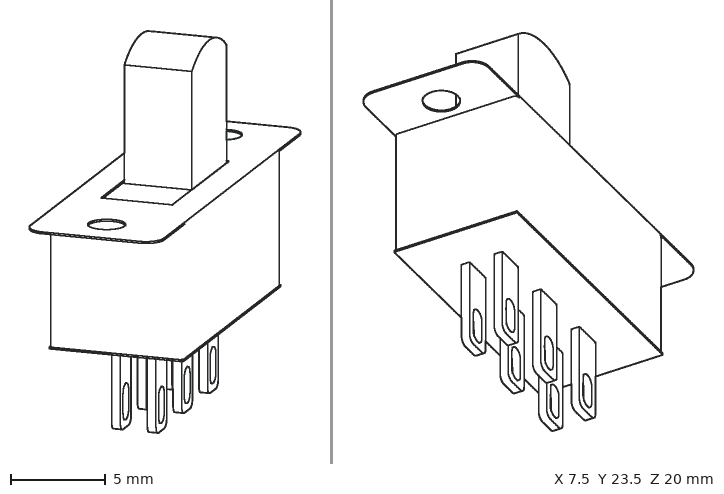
import cadquery as cq


sheet = 0.1

flange_length = 23.5
flange_width = 7.5
flange_corner_radius = 1.0
mount_hole_diameter = 2.0
mount_hole_pitch = 18.5
housing_length = 15.49
housing_width = flange_width
housing_height = 7.5
housing_corner_radius = 0.25

window_length = 9.0
window_width = 4.0

slider_length = 5.5
slider_clearance = sheet
slider_width = window_width - 2 * slider_clearance
slider_rise = 7.4
slider_crown = 0.99

terminal_thickness = 0.5
terminal_width = 1.72
terminal_length = 5.0
terminal_corner_radius = 0.42
terminal_rows = 2
terminal_row_pitch = 2.0
terminals_per_row = 3
terminal_pitch = 4.1
slot_length = 2.0
slot_width = 0.9
slot_end_gap = 0.42

window_floor_z = -sheet
housing_bottom_z = -housing_height
base_bottom_z = housing_bottom_z - sheet


def make_housing():
    """Solid block under a thin flange, with two mounting holes and a window one sheet deep."""
    flange = (
        cq.Workplane("XY")
        .box(flange_width, flange_length, sheet, centered=(True, True, False))
        .edges("|Z")
        .fillet(flange_corner_radius)
        .faces(">Z")
        .workplane()
        .rarray(0.24, mount_hole_pitch, 1, 2)
        .hole(mount_hole_diameter)
        .translate((0, 0, -sheet))
    )
    block = (
        cq.Workplane("XY", origin=(0, 0, housing_bottom_z))
        .rect(housing_width, housing_length)
        .extrude(housing_height - sheet)
        .edges("|Z")
        .fillet(housing_corner_radius)
    )
    window = (
        cq.Workplane("XY", origin=(0, 0, window_floor_z))
        .rect(window_width, window_length)
        .extrude(sheet)
    )
    return flange.union(block).cut(window)


def make_base():
    """Flat square-cornered plate that closes the underside of the housing."""
    return (
        cq.Workplane("XY", origin=(0, 0, base_bottom_z))
        .rect(housing_width, housing_length)
        .extrude(sheet)
    )


def make_slider():
    """Block with a crowned top, standing on the window floor at the +Y end of its travel."""
    back_y = window_length / 2 - slider_clearance
    front_y = back_y - slider_length
    shoulder_z = slider_rise - slider_crown
    return (
        cq.Workplane("YZ")
        .moveTo(front_y, window_floor_z)
        .lineTo(back_y, window_floor_z)
        .lineTo(back_y, shoulder_z)
        .threePointArc(((front_y + back_y) / 2, slider_rise), (front_y, shoulder_z))
        .close()
        .extrude(slider_width / 2, both=True)
    )


def make_terminal(x, y):
    """Flat tag hanging below the base plate, with rounded lower corners and a wire slot."""
    tip_z = base_bottom_z - terminal_length
    slot_z = tip_z + slot_end_gap + slot_length / 2
    tag = (
        cq.Workplane("XY", origin=(x, y, tip_z))
        .rect(terminal_thickness, terminal_width)
        .extrude(terminal_length)
        .edges("|X and <Z")
        .fillet(terminal_corner_radius)
    )
    slot = (
        cq.Workplane("YZ", origin=(x, y, slot_z))
        .slot2D(slot_length, slot_width, 90)
        .extrude(terminal_thickness, both=True)
    )
    return tag.cut(slot)


housing = make_housing()
base = make_base()
slider = make_slider()

terminals = []
for row in range(terminal_rows):
    for place in range(terminals_per_row):
        terminal_x = (row - (terminal_rows - 1) / 2) * terminal_row_pitch
        terminal_y = (place - (terminals_per_row - 1) / 2) * terminal_pitch
        terminals.append(make_terminal(terminal_x, terminal_y).val())

result = cq.Compound.makeCompound([housing.val(), base.val(), slider.val(), *terminals])